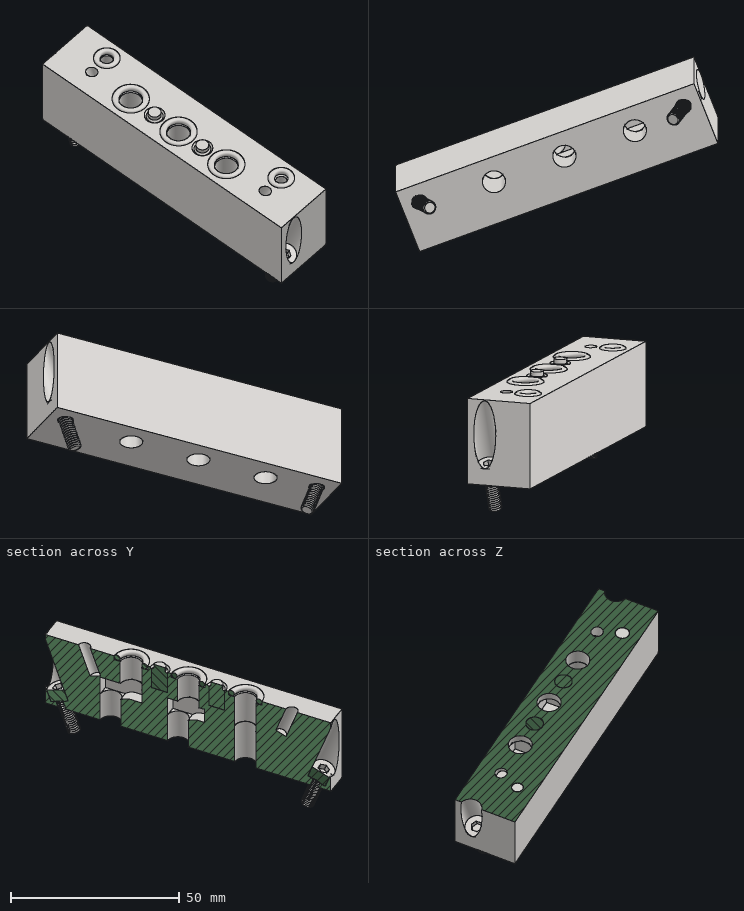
import cadquery as cq
import math

LENGTH = 95.0
WIDTH = 20.0
HEIGHT = 26.0
SIDES = (-1, 1)

ROW_Y = -2.6
PORT_PITCH = 19.0
PORT_DIAMETER = 7.0
PORT_XS = (-PORT_PITCH, 0, PORT_PITCH)
PIN_XS = (-PORT_PITCH / 2, PORT_PITCH / 2)

SIDE_PORT_X = 34.7
SIDE_PORT_Y = 4.4
SIDE_PORT_DEPTH = 7.6
SIDE_PORTS = ((-SIDE_PORT_X, SIDE_PORT_Y, 4.2), (SIDE_PORT_X, SIDE_PORT_Y, 3.4))

RING_SECTION = 2.0
RING_PROTRUSION = 0.6
PORT_RING_OUTER = 11.1
SIDE_RING_OUTER = 8.0
RING_PLACES = (
    [(x, ROW_Y, PORT_RING_OUTER) for x in PORT_XS]
    + [(x, y, SIDE_RING_OUTER) for x, y, _ in SIDE_PORTS]
)

OUTLET_PITCH = 22.4
OUTLET_DIAMETER = 6.8
OUTLET_XS = [PORT_XS[0] + i * OUTLET_PITCH for i in range(len(PORT_XS))]

GALLERY_FLOOR = 11.4
GALLERY_TOP = 16.15
GALLERY_MIDDLE = (GALLERY_FLOOR + GALLERY_TOP) / 2
SILL_RADIUS = 5.7
SILL_START = 8.0
SILL_CREST = 0.9
SILL_END = 3.1

PIN_DIAMETER = 3.9
PIN_BODY_DIAMETER = 5.0
PIN_TAPER = (PIN_BODY_DIAMETER - PIN_DIAMETER) / 2
PIN_SEAT_CHAMFER = 0.6
PIN_PROTRUSION = 1.4
PIN_DEPTH = 7.6

TILT = 20.0
SCREW_Y = -4.5
SCREW_EXIT_X = 41.9
HEAD_SEAT = 2.6
HEAD_DIAMETER = 7.0
HEAD_HEIGHT = 4.0
SOCKET_WIDTH = 3.0
SOCKET_DEPTH = 1.9
SOCKET_TURN = 30.0
THREAD_DIAMETER = 4.0
THREAD_DEPTH = 0.4
THREAD_PITCH = 0.7
THREAD_COUNT = 17
CLEARANCE_DIAMETER = 4.5
POCKET_LENGTH = 38.0

TILTED_HOLE_X = 34.5
TILTED_HOLE_DIAMETER = 3.5
TILTED_HOLE_DEPTH = 10.45

OVERCUT = 2.85


def tilted_plane(side, x, y, z):
    """Plane whose normal points up and leans outward, towards the given end of the housing."""
    lean = math.radians(TILT)
    normal = (side * math.sin(lean), 0, math.cos(lean))
    return cq.Plane((side * x, y, z), (0, 1, 0), normal)


def cylinder(plane, diameter, bottom, top):
    """Cylinder on the normal of a plane, between two heights along that normal."""
    return cq.Workplane(plane).workplane(offset=bottom).circle(diameter / 2).extrude(top - bottom)


def upright_cylinder(x, y, diameter, bottom, top):
    return cylinder(cq.Plane((x, y, 0)), diameter, bottom, top)


def gland(x, y, outer_diameter):
    """Recess that holds a sealing ring."""
    floor = HEIGHT + RING_PROTRUSION - RING_SECTION
    return upright_cylinder(x, y, outer_diameter, floor, HEIGHT)


def gallery(port_x, outlet_x):
    """Passage from a port across to its outlet, as wide as the port."""
    sill_start_x = outlet_x - SILL_START
    sill_end_x = outlet_x - SILL_END
    crest_x = sill_start_x + SILL_CREST
    sill_axis_z = GALLERY_FLOOR - math.sqrt(SILL_RADIUS**2 - SILL_CREST**2)
    sill_end_z = sill_axis_z + math.sqrt(SILL_RADIUS**2 - (sill_end_x - crest_x)**2)
    left = min(port_x - PORT_DIAMETER / 2, sill_start_x - SILL_CREST)
    right = outlet_x + OUTLET_DIAMETER / 2
    return (
        cq.Workplane("XZ", (0, ROW_Y, 0))
        .moveTo(left, GALLERY_FLOOR)
        .lineTo(sill_start_x, GALLERY_FLOOR)
        .threePointArc((crest_x, sill_axis_z + SILL_RADIUS), (sill_end_x, sill_end_z))
        .lineTo(right, sill_end_z)
        .lineTo(right, GALLERY_TOP)
        .lineTo(left, GALLERY_TOP)
        .close()
        .extrude(PORT_DIAMETER / 2, both=True)
    )


def pin_seat(x):
    """Blind hole for a locating pin, with a chamfered mouth."""
    radius = PIN_BODY_DIAMETER / 2
    mouth = HEIGHT - PIN_SEAT_CHAMFER
    chamfer = cq.Solid.makeCone(
        radius, radius + PIN_SEAT_CHAMFER, PIN_SEAT_CHAMFER, cq.Vector(x, ROW_Y, mouth)
    )
    hole = upright_cylinder(x, ROW_Y, PIN_BODY_DIAMETER, HEIGHT - PIN_DEPTH, HEIGHT)
    return hole.union(cq.Workplane(chamfer))


def screw_opening(side):
    """Head pocket that opens through the end face, and clearance hole through the bottom face."""
    plane = tilted_plane(side, SCREW_EXIT_X, SCREW_Y, 0)
    pocket = cylinder(plane, HEAD_DIAMETER, HEAD_SEAT, POCKET_LENGTH)
    return pocket.union(cylinder(plane, CLEARANCE_DIAMETER, -OVERCUT, HEAD_SEAT))


def tilted_hole(side):
    plane = tilted_plane(side, TILTED_HOLE_X, ROW_Y, HEIGHT)
    return cylinder(plane, TILTED_HOLE_DIAMETER, -TILTED_HOLE_DEPTH, OVERCUT)


def make_housing():
    body = cq.Workplane().box(LENGTH, WIDTH, HEIGHT, centered=(True, True, False))
    for port_x, outlet_x in zip(PORT_XS, OUTLET_XS):
        body = body.cut(upright_cylinder(port_x, ROW_Y, PORT_DIAMETER, GALLERY_MIDDLE, HEIGHT))
        body = body.cut(upright_cylinder(outlet_x, ROW_Y, OUTLET_DIAMETER, 0, GALLERY_MIDDLE))
        if outlet_x != port_x:
            body = body.cut(gallery(port_x, outlet_x))
    for x, y, diameter in SIDE_PORTS:
        body = body.cut(upright_cylinder(x, y, diameter, HEIGHT - SIDE_PORT_DEPTH, HEIGHT))
    for x, y, outer_diameter in RING_PLACES:
        body = body.cut(gland(x, y, outer_diameter))
    for x in PIN_XS:
        body = body.cut(pin_seat(x))
    for side in SIDES:
        body = body.cut(screw_opening(side))
        body = body.cut(tilted_hole(side))
    return body


def make_ring(x, y, outer_diameter):
    section_radius = RING_SECTION / 2
    center = cq.Vector(x, y, HEIGHT + RING_PROTRUSION - section_radius)
    return cq.Solid.makeTorus(outer_diameter / 2 - section_radius, section_radius, center)


def make_pin(x):
    """Turned pin; heights in the outline are measured from the top face."""
    tip_radius = PIN_DIAMETER / 2
    body_radius = PIN_BODY_DIAMETER / 2
    shoulder = -PIN_SEAT_CHAMFER
    outline = [
        (0, -PIN_DEPTH),
        (body_radius, -PIN_DEPTH),
        (body_radius, shoulder),
        (tip_radius, shoulder + PIN_TAPER),
        (tip_radius, PIN_PROTRUSION),
        (0, PIN_PROTRUSION),
    ]
    pin = cq.Workplane("XZ").polyline(outline).close().revolve(360, (0, 0), (0, 1))
    return pin.translate((x, ROW_Y, HEIGHT)).val()


def make_screw(side):
    """Socket head screw whose thread is a stack of V-shaped ridges."""
    crest = THREAD_DIAMETER / 2
    root = crest - THREAD_DEPTH
    head_radius = HEAD_DIAMETER / 2
    outline = [(0, HEAD_HEIGHT), (head_radius, HEAD_HEIGHT), (head_radius, 0), (root, 0)]
    for turn in range(THREAD_COUNT):
        outline.append((crest, -(turn + 0.5) * THREAD_PITCH))
        outline.append((root, -(turn + 1) * THREAD_PITCH))
    outline.append((0, -THREAD_COUNT * THREAD_PITCH))
    screw = cq.Workplane("XZ").polyline(outline).close().revolve(360, (0, 0), (0, 1))

    socket = (
        cq.Workplane("XY", (0, 0, HEAD_HEIGHT - SOCKET_DEPTH))
        .transformed(rotate=(0, 0, SOCKET_TURN))
        .polygon(6, SOCKET_WIDTH, circumscribed=True)
        .extrude(SOCKET_DEPTH)
    )
    plane = tilted_plane(side, SCREW_EXIT_X, SCREW_Y, 0)
    raised = screw.cut(socket).translate((0, 0, HEAD_SEAT))
    return raised.solids().val().located(cq.Location(plane))


housing = make_housing()
rings = [make_ring(*place) for place in RING_PLACES]
pins = [make_pin(x) for x in PIN_XS]
screws = [make_screw(side) for side in SIDES]

result = cq.Compound.makeCompound([housing.val(), *rings, *pins, *screws])